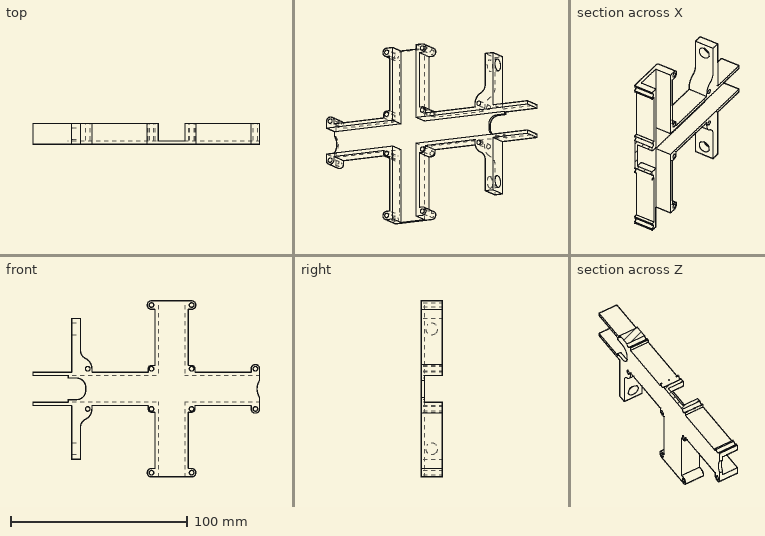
import cadquery as cq
import math

total_length = 128.7
total_height = 100.0
depth = 12.0
floor_thickness = 2.0

arm_width = 19.0
wall_thickness = 2.0
channel_width = arm_width - 2 * wall_thickness
arm_reach = total_height / 2
left_end = arm_reach - total_length

screw_diameter = 2.51
screw_offset = 11.39
end_boss_radius = 2.5
hub_boss_radius = 1.9
end_screw_reach = arm_reach - end_boss_radius

leg_left = -56.6
leg_thickness = 5.0
leg_right = leg_left + leg_thickness
leg_reach = 40.0
leg_hole_diameter = 6.7
leg_hole_offset = 34.0

flare_right = end_boss_radius - end_screw_reach
flare_radius = 6.5
flare_fillet_radius = 5.0

floor_left_end = -58.7
slot_end = -48.8
slot_width = 12.1
slot_corner_radius = 5.0

notch_depth = 1.4
notch_radius = 9.0


def block(x_min, x_max, z_half, y_min=0.0, y_max=depth):
    """Box between two X limits and two Y limits, symmetric about Z = 0."""
    return cq.Workplane("XY").box(
        x_max - x_min, y_max - y_min, 2 * z_half, centered=(False, False, True)
    ).translate((x_min, y_min, 0))


def front_sketch():
    """XZ workplane on the open face, whose extrusion runs toward -Y to the outer floor face."""
    return cq.Workplane("XZ", origin=(0, depth, 0))


def cross_body():
    """Solid arms, with a rounded boss block at the crossing and a round-ended cap on three arms."""
    half_arm = arm_width / 2
    body = block(left_end, arm_reach, half_arm)
    body = body.union(block(-half_arm, half_arm, arm_reach))

    hub_half = screw_offset + hub_boss_radius
    body = body.union(block(-hub_half, hub_half, hub_half).edges("|Y").fillet(hub_boss_radius))

    cap_length = 2 * (screw_offset + end_boss_radius)
    cap_width = 2 * end_boss_radius
    horizontal_caps = (
        front_sketch()
        .pushPoints([(0, -end_screw_reach), (0, end_screw_reach)])
        .slot2D(cap_length, cap_width)
        .extrude(depth)
    )
    right_cap = front_sketch().center(end_screw_reach, 0).slot2D(cap_length, cap_width, 90).extrude(depth)
    return body.union(horizontal_caps).union(right_cap)


def leg_pair():
    """Upper leg with its S-shaped flare, and its mirror image below."""
    radius_sum = flare_fillet_radius + flare_radius
    turn = math.acos(1 - (flare_right - leg_right) / radius_sum)
    join_x = flare_right - flare_radius * (1 - math.cos(turn))
    join_z = screw_offset + flare_radius * math.sin(turn)
    fillet_top = screw_offset + radius_sum * math.sin(turn)

    half_turn = turn / 2
    flare_mid = (
        flare_right - flare_radius * (1 - math.cos(half_turn)),
        screw_offset + flare_radius * math.sin(half_turn),
    )
    fillet_mid = (
        leg_right + flare_fillet_radius * (1 - math.cos(half_turn)),
        fillet_top - flare_fillet_radius * math.sin(half_turn),
    )
    upper = (
        front_sketch()
        .moveTo(leg_left, 0)
        .lineTo(flare_right, 0)
        .lineTo(flare_right, screw_offset)
        .threePointArc(flare_mid, (join_x, join_z))
        .threePointArc(fillet_mid, (leg_right, fillet_top))
        .lineTo(leg_right, leg_reach)
        .lineTo(leg_left, leg_reach)
        .close()
        .extrude(depth)
    )
    return upper.union(upper.mirror("XY"))


def channels():
    """Crossing channels above the floor, open at every arm end."""
    half_channel = channel_width / 2
    along_x = block(left_end, arm_reach, half_channel, floor_thickness, depth)
    along_z = block(-half_channel, half_channel, arm_reach, floor_thickness, depth)
    return along_x.union(along_z)


def left_opening():
    """Floor removed between the rails, then the round-cornered slot."""
    rail_gap = block(left_end, floor_left_end, channel_width / 2)
    slot = block(left_end, slot_end, slot_width / 2).edges("|Y and >X").fillet(slot_corner_radius)
    return rail_gap.union(slot)


def right_notch():
    """Cylinder that cuts the curved notch into the right end."""
    center_x = arm_reach - notch_depth + notch_radius
    return front_sketch().center(center_x, 0).circle(notch_radius).extrude(depth)


def screw_holes():
    """Pairs of through holes at the crossing, the arm ends and the flares."""
    points = []
    for side in (-1, 1):
        for x in (-end_screw_reach, -screw_offset, screw_offset, end_screw_reach):
            points.append((x, side * screw_offset))
        for x in (-screw_offset, screw_offset):
            points.append((x, side * end_screw_reach))
    return front_sketch().pushPoints(points).circle(screw_diameter / 2).extrude(depth)


def leg_holes():
    """Cross hole through each leg along X, at mid depth."""
    return (
        cq.Workplane("YZ", origin=(leg_left, depth / 2, 0))
        .pushPoints([(0, -leg_hole_offset), (0, leg_hole_offset)])
        .circle(leg_hole_diameter / 2)
        .extrude(leg_thickness)
    )


result = cross_body().union(leg_pair())
for cutter in (channels(), left_opening(), right_notch(), screw_holes(), leg_holes()):
    result = result.cut(cutter)